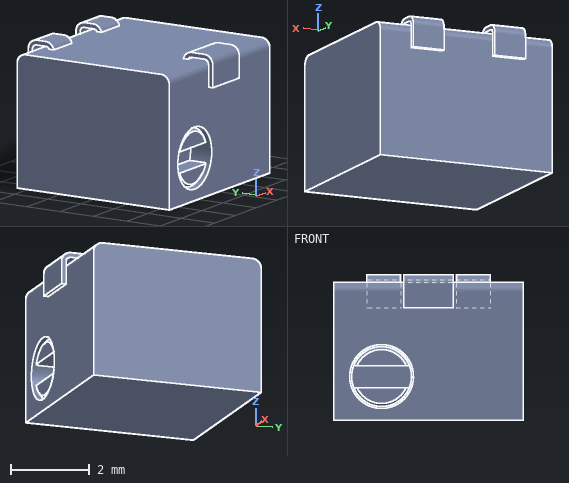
import cadquery as cq
import math

body_x = 4.826
body_y = 4.572
body_z = 3.52
body_edge_radius = 0.25

strip_thickness = 0.127
strip_gap = 0.0635
bend_outer_radius = 0.254
bend_inner_radius = bend_outer_radius - strip_thickness
terminal_height = 0.845
front_width = 1.27
front_flat = 0.381
rear_width = 0.864
rear_flat = 0.27
rear_offset_x = 1.143

screw_x = -1.194
screw_z = 1.118
bore_radius = 0.813
screw_radius = 0.762
screw_chamfer = 0.076
screw_recess = 0.06
slot_width = 0.559
slot_depth = 0.54
gap_below_slot = 0.1

front_y = -body_y / 2
slot_floor_y = front_y + screw_recess + slot_depth
bore_depth = screw_recess + slot_depth + gap_below_slot


def make_housing():
    """Block with its two long top edges rounded; its base lies on Z = 0."""
    block = cq.Workplane("XY").box(body_x, body_y, body_z, centered=(True, True, False))
    return block.edges("|X and >Z").fillet(body_edge_radius)


def front_cylinder(radius, start_y, length):
    """Cylinder on the screw axis, running inward (+Y) from start_y."""
    return cq.Workplane(
        cq.Solid.makeCylinder(
            radius, length, cq.Vector(screw_x, start_y, screw_z), cq.Vector(0, 1, 0)
        )
    )


def make_screw():
    """Chamfered, slotted screw head standing on the floor of its bore."""
    head = front_cylinder(screw_radius, front_y + screw_recess, bore_depth - screw_recess)
    head = head.faces("<Y").chamfer(screw_chamfer)
    slot = (
        cq.Workplane("XY")
        .box(2 * bore_radius, slot_depth, slot_width)
        .translate((screw_x, slot_floor_y - slot_depth / 2, screw_z))
    )
    return head.cut(slot)


def make_front_terminal(width, flat, center_x):
    """Strip with a leg beside the front face, a flat over the top and an end curled into the top."""
    outer_y = front_y - strip_gap - strip_thickness
    inner_y = outer_y + strip_thickness
    flat_start_y = outer_y + bend_outer_radius
    flat_end_y = flat_start_y + flat
    top_z = body_z + strip_gap + strip_thickness
    under_z = top_z - strip_thickness
    bend_z = top_z - bend_outer_radius
    foot_z = top_z - terminal_height
    diagonal = math.sqrt(0.5)
    outer_mid = bend_outer_radius * diagonal
    inner_mid = bend_inner_radius * diagonal
    profile = (
        cq.Workplane("YZ")
        .moveTo(outer_y, foot_z)
        .lineTo(outer_y, bend_z)
        .threePointArc((flat_start_y - outer_mid, bend_z + outer_mid), (flat_start_y, top_z))
        .lineTo(flat_end_y, top_z)
        .threePointArc(
            (flat_end_y + outer_mid, bend_z + outer_mid), (flat_end_y + bend_outer_radius, bend_z)
        )
        .lineTo(flat_end_y + bend_inner_radius, bend_z)
        .threePointArc((flat_end_y + inner_mid, bend_z + inner_mid), (flat_end_y, under_z))
        .lineTo(flat_start_y, under_z)
        .threePointArc((flat_start_y - inner_mid, bend_z + inner_mid), (inner_y, bend_z))
        .lineTo(inner_y, foot_z)
        .close()
    )
    return profile.extrude(width / 2, both=True).translate((center_x, 0, 0))


def make_rear_terminal(center_x):
    """Narrow terminal mirrored to the rear face."""
    return make_front_terminal(rear_width, rear_flat, center_x).mirror("XZ")


result = make_housing().cut(front_cylinder(bore_radius, front_y, bore_depth))
result = result.union(make_screw())
result = result.union(make_front_terminal(front_width, front_flat, 0))
for rear_x in (-rear_offset_x, rear_offset_x):
    result = result.union(make_rear_terminal(rear_x))